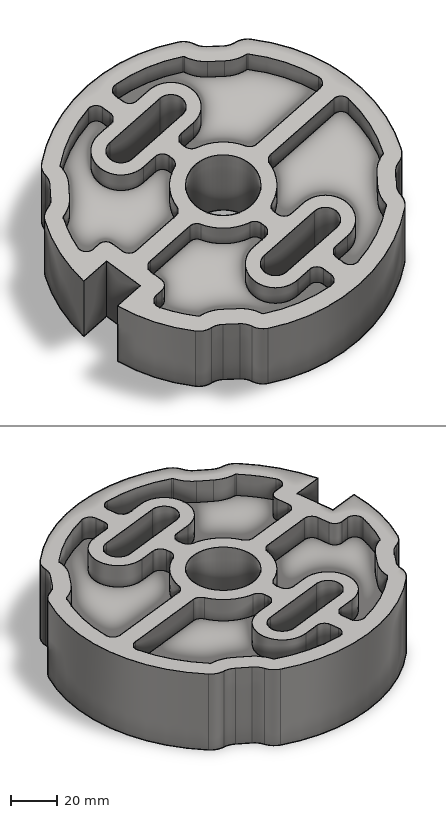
import cadquery as cq
import math

outer_radius = 79.2
height = 40.0
wall = 8.0
pocket_depth = 11.2

scallop_floor_radius = 74.5
scallop_flat_half = 3.6
scallop_blend_radius = 9.0

bore_diameter = 32.5
hub_diameter = 46.2
rib_width_y = 8.2
rib_width_x = 8.4
pocket_fillet = 4.1

slot_offset = 45.0
slot_width = 13.0
slot_length = 45.0
boss_wall = 6.5

notch_width = 19.6
notch_bottom_y = -64.0
notch_wall = 8.5

boss_width = slot_width + 2 * boss_wall
boss_length = slot_length + 2 * boss_wall
notch_block_width = notch_width + 2 * notch_wall
notch_block_top_y = notch_bottom_y + notch_wall
floor_z = height - pocket_depth


def along_diagonal(center_angle, across, outward):
    """Turn scallop coordinates (across, outward) into X, Y for a scallop at center_angle."""
    cos_a = math.cos(center_angle)
    sin_a = math.sin(center_angle)
    return (outward * cos_a - across * sin_a, outward * sin_a + across * cos_a)


def scallop_points(inset):
    """Points of half a scallop, from its flat to the rim, with the outline moved inward by inset."""
    concave_x = scallop_flat_half
    concave_y = scallop_floor_radius + scallop_blend_radius
    concave_distance = math.hypot(concave_x, concave_y)
    convex_distance = outer_radius - scallop_blend_radius
    between = 2 * scallop_blend_radius
    cos_offset = (concave_distance**2 + convex_distance**2 - between**2) / (
        2 * concave_distance * convex_distance
    )
    convex_angle = math.atan2(concave_x, concave_y) + math.acos(cos_offset)
    convex_x = convex_distance * math.sin(convex_angle)
    convex_y = convex_distance * math.cos(convex_angle)

    slope = math.atan2(convex_x - concave_x, concave_y - convex_y)
    concave_radius = scallop_blend_radius + inset
    convex_radius = scallop_blend_radius - inset

    def on_concave(angle):
        return (concave_x + concave_radius * math.sin(angle), concave_y - concave_radius * math.cos(angle))

    def on_convex(angle):
        return (convex_x + convex_radius * math.sin(angle), convex_y + convex_radius * math.cos(angle))

    return [
        on_concave(0),
        on_concave(slope / 2),
        on_concave(slope),
        on_convex((convex_angle - slope) / 2),
        on_convex(convex_angle),
    ]


def scalloped_disc(inset, base_z, thickness):
    """Disc with four scallops, its outline moved inward by inset."""
    half = scallop_points(inset)
    full = [(-across, outward) for across, outward in reversed(half)] + half
    rim_radius = outer_radius - inset
    quarter_turn = math.pi / 2
    angles = [quarter_turn * (i + 0.5) for i in range(4)]
    outline = cq.Workplane("XY").workplane(offset=base_z)
    for i, angle in enumerate(angles):
        points = [along_diagonal(angle, across, outward) for across, outward in full]
        if i == 0:
            outline = outline.moveTo(*points[0])
        outline = outline.threePointArc(points[1], points[2])
        outline = outline.threePointArc(points[3], points[4])
        outline = outline.lineTo(*points[5])
        outline = outline.threePointArc(points[6], points[7])
        outline = outline.threePointArc(points[8], points[9])
        rim_angle = angle + quarter_turn / 2
        rim_middle = (rim_radius * math.cos(rim_angle), rim_radius * math.sin(rim_angle))
        next_start = along_diagonal(angle + quarter_turn, *full[0])
        outline = outline.threePointArc(rim_middle, next_start)
    return outline.close().extrude(thickness)


def slots(length, width, base_z, thickness):
    """A pair of round-ended prisms, long along Y, one on each side of the hub."""
    return (
        cq.Workplane("XY")
        .workplane(offset=base_z)
        .pushPoints([(-slot_offset, 0), (slot_offset, 0)])
        .slot2D(length, width, 90)
        .extrude(thickness)
    )


def is_pocket_corner(edge):
    """True for upright edges on the sides of a rib or of the block around the notch."""
    center = edge.Center()
    tolerance = 0.002
    on_x_rib = math.isclose(abs(center.y), rib_width_x / 2, abs_tol=tolerance)
    on_y_rib = math.isclose(abs(center.x), rib_width_y / 2, abs_tol=tolerance)
    on_notch_block = math.isclose(abs(center.x), notch_block_width / 2, abs_tol=tolerance)
    return on_x_rib or on_y_rib or on_notch_block


def pockets():
    """The four recesses left between the rim, ribs, hub, slot bosses and notch block."""
    floor = cq.Workplane("XY").workplane(offset=floor_z)
    recess = floor.circle(outer_radius - wall).extrude(pocket_depth)
    x_rib = floor.rect(2 * outer_radius, rib_width_x).extrude(pocket_depth)
    y_rib = floor.rect(rib_width_y, 2 * outer_radius).extrude(pocket_depth)
    hub = floor.circle(hub_diameter / 2).extrude(pocket_depth)
    bosses = slots(boss_length, boss_width, floor_z, pocket_depth)
    notch_block = (
        floor.center(0, notch_block_top_y - outer_radius / 2)
        .rect(notch_block_width, outer_radius)
        .extrude(pocket_depth)
    )
    recess = recess.cut(x_rib).cut(y_rib).cut(hub).cut(bosses).cut(notch_block)
    recess = recess.edges("|Z").filter(is_pocket_corner).fillet(pocket_fillet)
    return recess.intersect(scalloped_disc(wall, floor_z, pocket_depth))


def notch():
    """Rectangular keyway through the full height, open to the -Y side."""
    return (
        cq.Workplane("XY")
        .center(0, notch_bottom_y - outer_radius / 2)
        .rect(notch_width, outer_radius)
        .extrude(height)
    )


bore = cq.Workplane("XY").circle(bore_diameter / 2).extrude(height)

result = (
    scalloped_disc(0, 0, height)
    .cut(pockets())
    .cut(bore)
    .cut(slots(slot_length, slot_width, 0, height))
    .cut(notch())
)